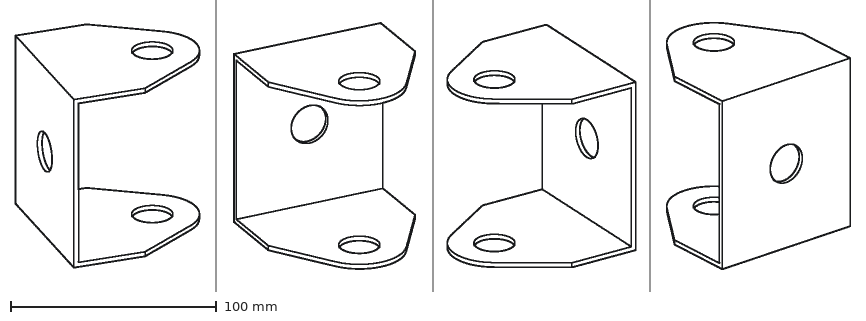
import cadquery as cq
import math

width = 80.0
height = 90.0
thickness = 2.5

straight_length = 37.0
eye_distance = 56.0
end_radius = 23.0

hole_diameter = 20.0


def flank_tangent_point():
    """Point where the +X flank of a lug touches its rounded end."""
    corner_x = width / 2
    corner_y = straight_length - eye_distance
    corner_distance = math.hypot(corner_x, corner_y)
    angle = math.atan2(corner_y, corner_x) + math.acos(end_radius / corner_distance)
    return end_radius * math.cos(angle), eye_distance + end_radius * math.sin(angle)


def make_lug(bottom_z):
    """Horizontal plate with a rounded end and an eye, its underside at bottom_z."""
    tangent_x, tangent_y = flank_tangent_point()
    return (
        cq.Workplane("XY", origin=(0, 0, bottom_z))
        .moveTo(-width / 2, 0)
        .lineTo(width / 2, 0)
        .lineTo(width / 2, straight_length)
        .lineTo(tangent_x, tangent_y)
        .threePointArc((0, eye_distance + end_radius), (-tangent_x, tangent_y))
        .lineTo(-width / 2, straight_length)
        .close()
        .moveTo(0, eye_distance)
        .circle(hole_diameter / 2)
        .extrude(thickness)
    )


def make_web():
    """Upright plate joining the two lugs, with a hole at its centre."""
    plate = cq.Workplane("XY").box(width, thickness, height, centered=(True, False, True))
    return plate.faces("<Y").workplane(centerOption="CenterOfBoundBox").hole(hole_diameter)


result = make_web()
for lug_bottom in (-height / 2, height / 2 - thickness):
    result = result.union(make_lug(lug_bottom))